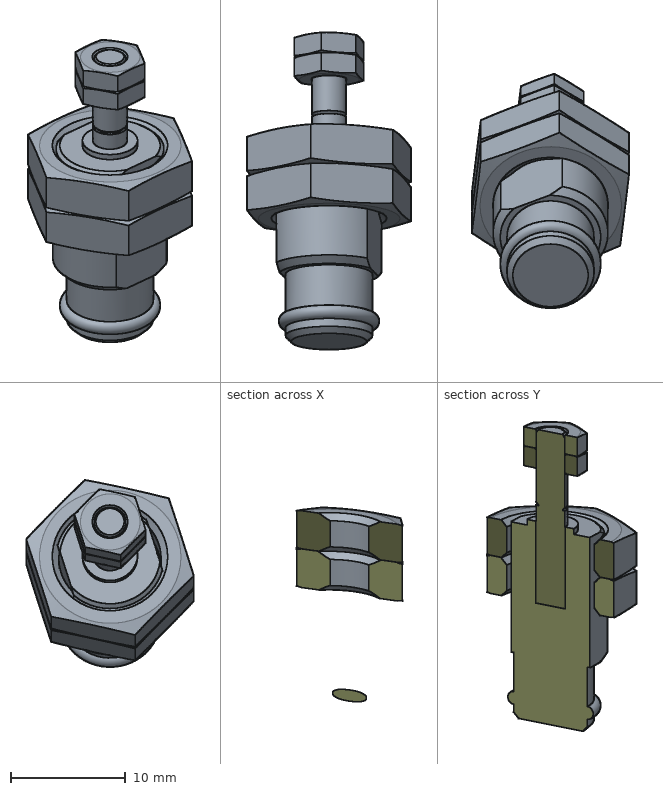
import cadquery as cq
import math

TOTAL_HEIGHT = 27.0

LARGE_NUT_FLATS = 13.0
LARGE_NUT_HEIGHT = 3.5
LARGE_NUT_BORE = 8.9
LARGE_NUT_COUNTERSINK = 10.05
LARGE_NUT_FACE = 12.3
LARGE_NUT_CORNER_DROP = 0.25

SMALL_NUT_FLATS = 5.5
SMALL_NUT_HEIGHT = 1.8
SMALL_NUT_BORE = 2.45
SMALL_NUT_COUNTERSINK = 3.08
SMALL_NUT_FACE = 5.18
SMALL_NUT_CORNER_DROP = 0.1

NUTS_PER_STACK = 2

BARREL_DIAMETER = 10.0
BARREL_FLATS = 8.07
BARREL_CHAMFER = 0.62
BARREL_BOTTOM = 6.0
BARREL_TOP = 18.0
SPIGOT_DIAMETER = 7.6
SPIGOT_CHAMFER = 0.5
BEAD_RADIUS = 0.6
BEAD_HEIGHT = 1.8
COLLAR_DIAMETER = 4.8
COLLAR_HEIGHT = 0.5
COLLAR_TOP = BARREL_TOP + COLLAR_HEIGHT

ROD_DIAMETER = 3.0
ROD_CHAMFER = 0.27
ROD_THREAD_START = 20.0
ROD_BOTTOM = BARREL_TOP - NUTS_PER_STACK * LARGE_NUT_HEIGHT


def cylinder(diameter, bottom, top):
    return cq.Workplane("XY").workplane(offset=bottom).circle(diameter / 2).extrude(top - bottom)


def make_housing():
    spigot = cylinder(SPIGOT_DIAMETER, 0, BARREL_BOTTOM).faces("<Z").chamfer(SPIGOT_CHAMFER)
    spigot_radius = SPIGOT_DIAMETER / 2
    bead_bottom = BEAD_HEIGHT - BEAD_RADIUS
    bead_top = BEAD_HEIGHT + BEAD_RADIUS
    bead = (
        cq.Workplane("XZ")
        .moveTo(0, bead_bottom)
        .lineTo(spigot_radius, bead_bottom)
        .threePointArc((spigot_radius + BEAD_RADIUS, BEAD_HEIGHT), (spigot_radius, bead_top))
        .lineTo(0, bead_top)
        .close()
        .revolve(360, (0, 0), (0, 1))
    )
    flats = cq.Workplane("XY").box(
        BARREL_FLATS, BARREL_DIAMETER, BARREL_TOP, centered=(True, True, False)
    )
    barrel = (
        cylinder(BARREL_DIAMETER, BARREL_BOTTOM, BARREL_TOP)
        .faces("<Z or >Z")
        .chamfer(BARREL_CHAMFER)
        .intersect(flats)
    )
    collar = cylinder(COLLAR_DIAMETER, BARREL_TOP, COLLAR_TOP)
    rod_bore = cylinder(ROD_DIAMETER, ROD_BOTTOM, COLLAR_TOP)
    return spigot.union(bead).union(barrel).union(collar).cut(rod_bore)


def make_rod():
    shank = cylinder(ROD_DIAMETER, ROD_BOTTOM, ROD_THREAD_START)
    threaded = cylinder(ROD_DIAMETER, ROD_THREAD_START, TOTAL_HEIGHT).faces("<Z or >Z").chamfer(ROD_CHAMFER)
    return shank.union(threaded)


def make_nut(flats, height, bore, countersink, face, corner_drop):
    """Hex nut standing on Z = 0, with corners on the Y axis."""
    corner_radius = flats / 2 / math.cos(math.pi / 6)
    hexagon = (
        cq.Workplane("XY")
        .polygon(6, 2 * corner_radius)
        .extrude(height)
        .rotate((0, 0, 0), (0, 0, 1), 30)
    )
    blank = (
        cq.Workplane("XZ")
        .moveTo(0, 0)
        .lineTo(face / 2, 0)
        .lineTo(corner_radius, corner_drop)
        .lineTo(corner_radius, height - corner_drop)
        .lineTo(face / 2, height)
        .lineTo(0, height)
        .close()
        .revolve(360, (0, 0), (0, 1))
    )
    countersink_depth = (countersink - bore) / 2
    hole = (
        cq.Workplane("XZ")
        .moveTo(0, 0)
        .lineTo(countersink / 2, 0)
        .lineTo(bore / 2, countersink_depth)
        .lineTo(bore / 2, height - countersink_depth)
        .lineTo(countersink / 2, height)
        .lineTo(0, height)
        .close()
        .revolve(360, (0, 0), (0, 1))
    )
    return hexagon.intersect(blank).cut(hole)


def stack_nuts(nut, height, stack_top, core):
    """Place nuts downward from stack_top, each recessed to fit the core that passes through it."""
    return [
        nut.translate((0, 0, stack_top - (index + 1) * height)).cut(core).val()
        for index in range(NUTS_PER_STACK)
    ]


housing = make_housing()
rod = make_rod()

large_nut = make_nut(
    LARGE_NUT_FLATS,
    LARGE_NUT_HEIGHT,
    LARGE_NUT_BORE,
    LARGE_NUT_COUNTERSINK,
    LARGE_NUT_FACE,
    LARGE_NUT_CORNER_DROP,
)
small_nut = make_nut(
    SMALL_NUT_FLATS,
    SMALL_NUT_HEIGHT,
    SMALL_NUT_BORE,
    SMALL_NUT_COUNTERSINK,
    SMALL_NUT_FACE,
    SMALL_NUT_CORNER_DROP,
)
mounting_nuts = stack_nuts(large_nut, LARGE_NUT_HEIGHT, BARREL_TOP, housing)
lock_nuts = stack_nuts(small_nut, SMALL_NUT_HEIGHT, TOTAL_HEIGHT, rod)

result = cq.Compound.makeCompound([housing.val(), rod.val(), *mounting_nuts, *lock_nuts])